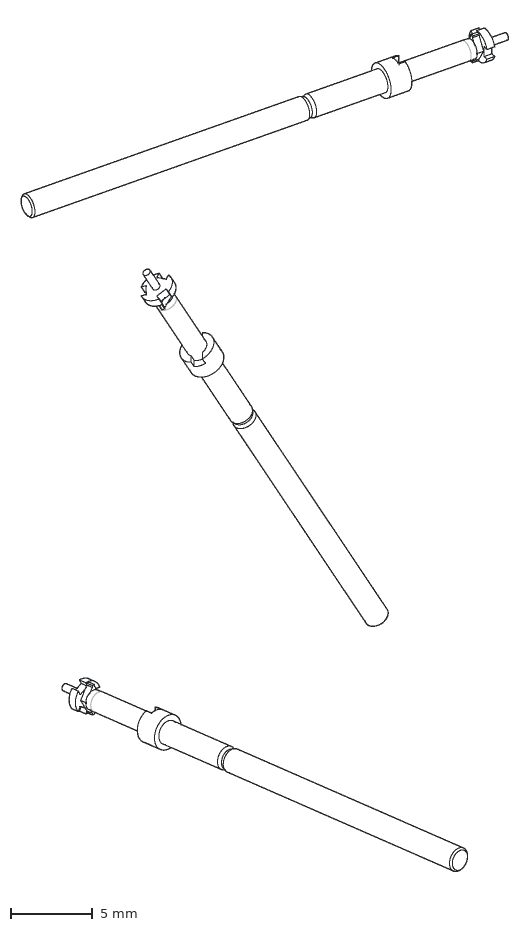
import cadquery as cq

COLLAR_LENGTH = 1.5
BARREL_END = 6.5
DISC_START = 6.98
DISC_END = 7.54
PIN_END = 9.0
TAIL_END = -25.5
GROOVE_MIDDLE = -5.37

BODY_DIAMETER = 1.55
TAIL_CHAMFER = 0.12
COLLAR_DIAMETER = 2.3
BARREL_DIAMETER = 1.35
PIN_DIAMETER = 0.5
DISC_DIAMETER = 2.15

BARREL_TAPER_LENGTH = 0.45
BARREL_TAPER_DEPTH = 0.015

GROOVE_WIDTH = 0.5
GROOVE_DEPTH = 0.1

COLLAR_SLOT_WIDTH = 0.75
COLLAR_SLOT_LENGTH = 0.45

NECK_HALF_WIDTH = 0.62
NECK_HALF_HEIGHT = 1.0
NECK_RIB_HALF_WIDTH = 0.1
NECK_RIB_BASE = 0.88

NOTCH_ANGLES = (0, 120, 240)
NOTCH_WIDTH = 0.72
NOTCH_FLOOR_RADIUS = 0.68


def cylinder(diameter, start, end):
    """Solid cylinder on the Y axis between two stations."""
    axis_plane = cq.Workplane("XZ", origin=(0, end, 0))
    return axis_plane.circle(diameter / 2).extrude(end - start)


def make_body():
    body = cylinder(BODY_DIAMETER, TAIL_END, 0)
    return body.faces("<Y").chamfer(TAIL_CHAMFER).cut(make_groove())


def make_groove():
    """Ring with a V-shaped section, point inward."""
    radius = BODY_DIAMETER / 2
    floor_radius = radius - GROOVE_DEPTH
    outer_radius = BODY_DIAMETER
    start = GROOVE_MIDDLE + GROOVE_WIDTH / 2
    end = GROOVE_MIDDLE - GROOVE_WIDTH / 2
    section = [
        (outer_radius, start),
        (radius, start),
        (floor_radius, GROOVE_MIDDLE),
        (radius, end),
        (outer_radius, end),
    ]
    return cq.Workplane("XY").polyline(section).close().revolve(360, (0, 0, 0), (0, 1, 0))


def make_collar():
    """Collar with a slot across its +Y face, open at the top and bottom of the rim."""
    collar = cylinder(COLLAR_DIAMETER, 0, COLLAR_LENGTH)
    slot_middle = COLLAR_LENGTH - COLLAR_SLOT_LENGTH / 2
    slot = cq.Workplane("XY", origin=(0, slot_middle, 0)).box(
        COLLAR_SLOT_WIDTH, COLLAR_SLOT_LENGTH, COLLAR_DIAMETER
    )
    return collar.cut(slot)


def make_barrel():
    barrel = cylinder(BARREL_DIAMETER, 0, BARREL_END)
    return barrel.faces(">Y").chamfer(BARREL_TAPER_LENGTH, BARREL_TAPER_DEPTH)


def make_neck():
    upper = [
        (-NECK_HALF_WIDTH, 0),
        (-NECK_RIB_HALF_WIDTH, NECK_RIB_BASE),
        (-NECK_RIB_HALF_WIDTH, NECK_HALF_HEIGHT),
        (NECK_RIB_HALF_WIDTH, NECK_HALF_HEIGHT),
        (NECK_RIB_HALF_WIDTH, NECK_RIB_BASE),
    ]
    lower = [(-x, -z) for x, z in upper]
    outline = upper + lower
    plane = cq.Workplane("XZ", origin=(0, DISC_START, 0))
    return plane.polyline(outline).close().extrude(DISC_START - BARREL_END)


def make_disc():
    disc = cylinder(DISC_DIAMETER, DISC_START, DISC_END)
    notch_depth = DISC_DIAMETER / 2
    notch_middle = (DISC_START + DISC_END) / 2
    notch = cq.Workplane("XY").box(notch_depth, DISC_END - DISC_START, NOTCH_WIDTH)
    notch = notch.translate((NOTCH_FLOOR_RADIUS + notch_depth / 2, notch_middle, 0))
    for angle in NOTCH_ANGLES:
        disc = disc.cut(notch.rotate((0, 0, 0), (0, 1, 0), -angle))
    return disc


result = make_body()
result = result.union(make_collar())
result = result.union(make_barrel())
result = result.union(make_neck())
result = result.union(make_disc())
result = result.union(cylinder(PIN_DIAMETER, DISC_END, PIN_END))